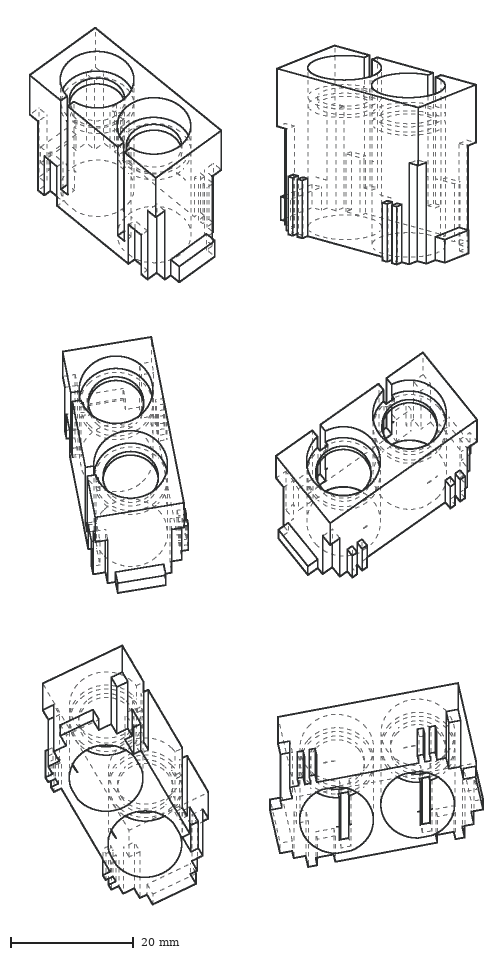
import cadquery as cq

LENGTH = 30.0
DEPTH = 14.7
HEIGHT = 27.5

LUG_LENGTH = 2.0
LUG_HEIGHT = 4.0
LEFT_LUG_WIDTH = 6.02
RIGHT_LUG_WIDTH = 8.0

BORE_SPACING = 13.5
BORE_DIAMETER = 12.0
COLLAR_DIAMETER = 9.0
COLLAR_TOP_DEPTH = 5.0
COLLAR_THICKNESS = 1.45

KEY_HEIGHT = 10.0
FLAT_SPACING = 11.75

SLOT_WIDTH = 1.6
SLOT_DEPTH = 2.07
SLOT_FLOOR = 5.0

NOTCH_LENGTH = 1.97
NOTCH_DEPTH = 2.05
NOTCH_HEIGHT = 17.5

KEY_INSET = 3.5
KEY_WIDTH = 3.0
KEYWAY_DEPTH = 1.35
RIB_WIDTH = KEY_WIDTH / 3
RIB_DEPTH = 1.35

FRONT = -DEPTH / 2
BACK = DEPTH / 2
BORE_POSITIONS = (-BORE_SPACING / 2, BORE_SPACING / 2)
COLLAR_TOP = HEIGHT - COLLAR_TOP_DEPTH
COLLAR_BOTTOM = COLLAR_TOP - COLLAR_THICKNESS


def block(x_min, x_max, y_min, y_max, z_min, z_max):
    """Box between opposite corners."""
    size = (x_max - x_min, y_max - y_min, z_max - z_min)
    return cq.Workplane("XY").box(*size, centered=False).translate((x_min, y_min, z_min))


def cylinder(x, diameter, z_min, z_max):
    """Vertical cylinder on the X axis."""
    return cq.Workplane("XY", origin=(x, 0, z_min)).circle(diameter / 2).extrude(z_max - z_min)


def bore(x):
    """Stepped through bore whose lowest stretch has flats at its front and back."""
    flat_box = block(
        x - BORE_DIAMETER / 2, x + BORE_DIAMETER / 2, -FLAT_SPACING / 2, FLAT_SPACING / 2, 0, KEY_HEIGHT
    )
    flatted = cylinder(x, BORE_DIAMETER, 0, KEY_HEIGHT).intersect(flat_box)
    lower = cylinder(x, BORE_DIAMETER, KEY_HEIGHT, COLLAR_BOTTOM)
    collar = cylinder(x, COLLAR_DIAMETER, 0, HEIGHT)
    upper = cylinder(x, BORE_DIAMETER, COLLAR_TOP, HEIGHT)
    return collar.union(flatted).union(lower).union(upper)


def slot(x):
    """Slot in the front wall, open at the top."""
    return block(x - SLOT_WIDTH / 2, x + SLOT_WIDTH / 2, FRONT, FRONT + SLOT_DEPTH, SLOT_FLOOR, HEIGHT)


def corner_notches():
    """The four lower vertical corners of the block."""
    return (
        cq.Workplane("XY")
        .rect(LENGTH, DEPTH, forConstruction=True)
        .vertices()
        .rect(2 * NOTCH_LENGTH, 2 * NOTCH_DEPTH)
        .extrude(NOTCH_HEIGHT)
    )


def mirrored_pair(solid):
    """A solid together with its mirror image across the YZ plane."""
    return solid.union(solid.mirror("YZ"))


def keyways():
    """Two keyways in the front wall, open at the bottom."""
    start = -LENGTH / 2 + KEY_INSET
    return mirrored_pair(block(start, start + KEY_WIDTH, FRONT, FRONT + KEYWAY_DEPTH, 0, KEY_HEIGHT))


def ribs():
    """Two pairs of ribs on the back wall; each pair spans one keyway width."""
    outer_start = -LENGTH / 2 + KEY_INSET
    inner_start = outer_start + KEY_WIDTH - RIB_WIDTH
    pair = cq.Workplane("XY")
    for start in (outer_start, inner_start):
        pair = pair.union(block(start, start + RIB_WIDTH, BACK, BACK + RIB_DEPTH, 0, KEY_HEIGHT))
    return mirrored_pair(pair)


def lugs():
    """Lugs at the bottom of the two end walls, the right one wider."""
    end = LENGTH / 2
    left = block(-end - LUG_LENGTH, -end, -LEFT_LUG_WIDTH / 2, LEFT_LUG_WIDTH / 2, 0, LUG_HEIGHT)
    right = block(end, end + LUG_LENGTH, -RIGHT_LUG_WIDTH / 2, RIGHT_LUG_WIDTH / 2, 0, LUG_HEIGHT)
    return left.union(right)


housing = block(-LENGTH / 2, LENGTH / 2, FRONT, BACK, 0, HEIGHT)
housing = housing.cut(corner_notches()).cut(keyways())
housing = housing.union(ribs()).union(lugs())
for bore_x in BORE_POSITIONS:
    housing = housing.cut(bore(bore_x)).cut(slot(bore_x))

result = housing